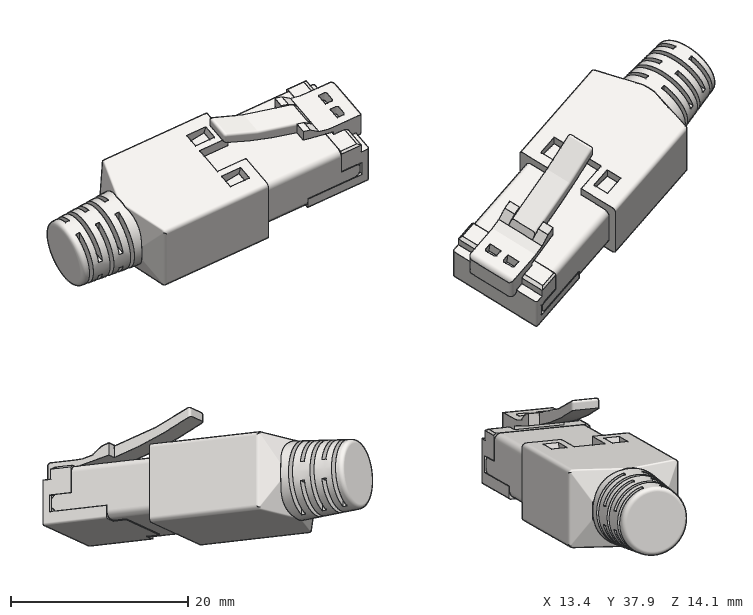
import cadquery as cq


BOOT_HALF_WIDTH = 6.7
BOOT_HALF_HEIGHT = 4.55
BOOT_FRONT_Y = 23.0
TAPER_FRONT_Y = 9.3
TAPER_BACK_Y = 7.57
TAPER_HALF_WIDTH = 4.5
RIDGE_TOP_X = 0.75
RIDGE_SIDE_Z = 1.02
BOOT_FILLET = 0.53
RIDGE_FILLET = 0.23
TILT_LIMIT = 0.1

RECESS_BACK_Y = 19.23
NOTCH_WIDTH = 3.8
WINDOW_WIDTH = 1.9
WINDOW_LENGTH = 2.55
WINDOW_CENTER_X = 3.7
WINDOW_FRONT_DEPTH = 0.87
WINDOW_BACK_DEPTH = 1.32
WINDOW_FRONT_SLANT = 0.23

RELIEF_AXIS_Z = -0.02
RELIEF_FRONT_RADIUS = 4.5
RELIEF_END_RADIUS = 3.95
RELIEF_END_FILLET = 0.5
RELIEF_OVERLAP = 0.55
SLOT_PITCH = 2.6
SIDE_SLOT_START_Y = 1.15
UPRIGHT_SLOT_START_Y = 2.4
SIDE_SLOT_COUNT = 3
UPRIGHT_SLOT_COUNT = 2
SLOT_WIDTH = 0.5
WEB_HALF = 1.1

BODY_HALF_WIDTH = 5.8
BODY_HALF_HEIGHT = 3.25
BODY_FILLET = 0.85
BODY_FRONT_Y = 34.05
HEAD_HALF_WIDTH = 5.85
HEAD_FRONT_Y = 36.95
HEAD_BOTTOM_Z = -3.35
HEAD_TOP_Z = 3.3
HEAD_BACK_Y = 33.27
RAIL_BACK_Y = 28.8
BOTTOM_PLATE_BACK_Y = 27.18
BOTTOM_PLATE_HALF_WIDTH = 4.15
STEP_Y = 35.9
STEP_Z = 1.9
HEAD_EDGE = 0.245
STEP_BEVEL_LENGTH = 0.45
NOTCH_FRONT_Y = 36.0
NOTCH_BOTTOM_Z = -1.85
NOTCH_TOP_Z = 0.08
NOSE_GAP = 0.23
NOSE_CHAMFER = 0.4
NOSE_GAP_DEPTH = 0.38

PLUG_TIP_Y = 37.85
LATCH_TOP_Z = 4.55
LATCH_BOTTOM_Z = 1.32
LATCH_HALF_WIDTH = 3.03
LATCH_CORNER_FILLET = 0.5
LATCH_NOSE_START_Y = 37.05
LATCH_NOSE_MIDDLE = (37.6, 4.43)
LATCH_NOSE_END_Z = 4.13
TOP_FLAT_BACK_Y = 34.25
TOP_BEND = (33.27, 4.58)
HOOK_INNER_Y = 35.2
HOOK_INNER_Z = 2.65
UNDERCUT_FRONT_Y = 34.0
UNDERCUT_TOP_Z = 3.8
UNDERCUT_RADIUS = 0.23
SHOULDER_BEND = (30.9, 5.8)
ROOT_BACK_Y = 29.95
ROOT_BACK_TOP_Z = 6.1
ROOT_BACK_BOTTOM = (ROOT_BACK_Y, 4.65)
RAMP_START = (32.02, 4.9)
ARM_HALF_WIDTH = 1.65
ARM_CREST = (31.4, 5.65)
ARM_BEND = (24.83, 7.7)
ARM_UNDERSIDE_MIDDLE = (25.1, 6.3)
ARM_END_Y = 20.33
ARM_END_TOP_Z = 9.73
ARM_END_BOTTOM_Z = 8.48
ARM_FILLET = 0.3

LATCH_HOLE_X = 1.25
LATCH_HOLE_WIDTH = 1.5
LATCH_HOLE_FRONT_Y = 36.1
LATCH_HOLE_LENGTH = 1.02
LATCH_HOLE_TAPER = 0.23
LATCH_HOLE_FILLET = 0.23
LATCH_HOLE_DEPTH = 1.15


def block(x_range, y_range, z_range):
    """Box between the given limits."""
    sizes = [high - low for low, high in (x_range, y_range, z_range)]
    corner = (x_range[0], y_range[0], z_range[0])
    return cq.Workplane("XY").box(*sizes, centered=False).translate(corner)


def centered_block(half_width, y_range, z_range):
    """Box that is symmetric about X = 0."""
    return block((-half_width, half_width), y_range, z_range)


def across(profile, half_width):
    """Extrude a closed (Y, Z) profile symmetrically along X."""
    return profile.extrude(half_width, both=True)


def make_boot():
    """Rounded box whose back is faceted down towards the strain relief."""
    w, h = BOOT_HALF_WIDTH, BOOT_HALF_HEIGHT
    boot = centered_block(w, (TAPER_BACK_Y, BOOT_FRONT_Y), (-h, h))
    for side in (-1, 1):
        side_cut = (
            cq.Workplane("XY")
            .moveTo(side * w, TAPER_FRONT_Y)
            .lineTo(side * TAPER_HALF_WIDTH, TAPER_BACK_Y)
            .lineTo(side * w, TAPER_BACK_Y)
            .close()
            .extrude(h, both=True)
        )
        boot = boot.cut(side_cut)
    boot = boot.edges("(|Y or |Z) and (not (<Y or >Y))").fillet(BOOT_FILLET)
    for side in (-1, 1):
        for level in (-1, 1):
            boot = boot.cut(corner_facet(side, level))
    return boot.faces().filter(is_facet).edges("not <Y").fillet(RIDGE_FILLET)


def is_facet(face):
    """True for a flat face that is tilted to all three axes."""
    normal = face.normalAt()
    return face.geomType() == "PLANE" and min(abs(normal.x), abs(normal.y), abs(normal.z)) > TILT_LIMIT


def corner_facet(side, level):
    """Tetrahedron that cuts one sloping facet at a back corner of the boot."""
    tip = cq.Vector(side * BOOT_HALF_WIDTH, TAPER_FRONT_Y, level * BOOT_HALF_HEIGHT)
    on_top = cq.Vector(side * RIDGE_TOP_X, TAPER_BACK_Y, level * BOOT_HALF_HEIGHT)
    on_side = cq.Vector(side * TAPER_HALF_WIDTH, TAPER_BACK_Y, level * RIDGE_SIDE_Z)
    outside = cq.Vector(side * BOOT_HALF_WIDTH, TAPER_BACK_Y, level * BOOT_HALF_HEIGHT)
    corners = [tip, on_top, on_side, outside]
    faces = []
    for skipped in corners:
        triangle = [corner for corner in corners if corner is not skipped]
        faces.append(cq.Face.makeFromWires(cq.Wire.makePolygon(triangle, close=True)))
    return cq.Workplane(cq.Solid.makeSolid(cq.Shell.makeShell(faces)))


def cut_boot_recesses(plug):
    """Latch notch down to the plug body and two snap windows with sloping floors."""
    top = BOOT_HALF_HEIGHT
    plug = plug.cut(
        centered_block(NOTCH_WIDTH / 2, (RECESS_BACK_Y, BOOT_FRONT_Y), (BODY_HALF_HEIGHT, top))
    )
    window_front_y = RECESS_BACK_Y + WINDOW_LENGTH
    window = across(
        cq.Workplane("YZ")
        .moveTo(RECESS_BACK_Y, top)
        .lineTo(window_front_y, top)
        .lineTo(window_front_y - WINDOW_FRONT_SLANT, top - WINDOW_FRONT_DEPTH)
        .lineTo(RECESS_BACK_Y, top - WINDOW_BACK_DEPTH)
        .close(),
        WINDOW_WIDTH / 2,
    )
    for side in (-1, 1):
        plug = plug.cut(window.translate((side * WINDOW_CENTER_X, 0, 0)))
    return plug


def make_relief():
    """Tapered sleeve with alternating pairs of slots that make it flexible."""
    front_y = TAPER_BACK_Y + RELIEF_OVERLAP
    relief = (
        cq.Workplane("XY")
        .lineTo(RELIEF_END_RADIUS, 0)
        .lineTo(RELIEF_FRONT_RADIUS, TAPER_BACK_Y)
        .lineTo(RELIEF_FRONT_RADIUS, front_y)
        .lineTo(0, front_y)
        .close()
        .revolve(360, (0, 0), (0, 1))
        .faces("<Y")
        .edges()
        .fillet(RELIEF_END_FILLET)
    )
    reach = 2 * RELIEF_FRONT_RADIUS
    side_slot = block((WEB_HALF, reach), (-SLOT_WIDTH / 2, SLOT_WIDTH / 2), (-reach, reach))
    upright_slot = side_slot.rotate((0, 0, 0), (0, 1, 0), 90)
    for start_y, count, slot in (
        (SIDE_SLOT_START_Y, SIDE_SLOT_COUNT, side_slot),
        (UPRIGHT_SLOT_START_Y, UPRIGHT_SLOT_COUNT, upright_slot),
    ):
        opposite = slot.rotate((0, 0, 0), (0, 1, 0), 180)
        for index in range(count):
            place = (0, start_y + index * SLOT_PITCH, 0)
            relief = relief.cut(slot.translate(place)).cut(opposite.translate(place))
    return relief.translate((0, 0, RELIEF_AXIS_Z))


def make_body():
    """Plug body that runs from the boot into the head."""
    body = centered_block(
        BODY_HALF_WIDTH, (RECESS_BACK_Y, BODY_FRONT_Y), (-BODY_HALF_HEIGHT, BODY_HALF_HEIGHT)
    )
    return body.edges("|Y").fillet(BODY_FILLET)


def make_head():
    """Stepped head with a rail along each lower edge and a side notch above the rail."""
    w = HEAD_HALF_WIDTH
    lower = centered_block(w, (HEAD_BACK_Y, HEAD_FRONT_Y), (HEAD_BOTTOM_Z, STEP_Z))
    lower = lower.union(centered_block(w, (RAIL_BACK_Y, HEAD_FRONT_Y), (HEAD_BOTTOM_Z, NOTCH_BOTTOM_Z)))
    lower = lower.edges("|Z and >Y").fillet(HEAD_EDGE)
    lower = lower.faces("<Z").edges("not <Y").fillet(HEAD_EDGE)
    upper = centered_block(w, (HEAD_BACK_Y, STEP_Y), (0, HEAD_TOP_Z))
    upper = upper.faces(">Z").edges("|Y").chamfer(HEAD_EDGE)
    step_bevel = across(
        cq.Workplane("YZ")
        .moveTo(STEP_Y, HEAD_TOP_Z)
        .lineTo(STEP_Y - STEP_BEVEL_LENGTH, HEAD_TOP_Z)
        .lineTo(STEP_Y, HEAD_TOP_Z - HEAD_EDGE)
        .close(),
        w,
    )
    head = lower.union(upper.cut(step_bevel))
    plate = centered_block(
        BOTTOM_PLATE_HALF_WIDTH, (BOTTOM_PLATE_BACK_Y, RAIL_BACK_Y), (HEAD_BOTTOM_Z, NOTCH_BOTTOM_Z)
    )
    head = head.union(plate)
    for inner, outer in ((BODY_HALF_WIDTH, w), (-w, -BODY_HALF_WIDTH)):
        notch = block((inner, outer), (RAIL_BACK_Y, NOTCH_FRONT_Y), (NOTCH_BOTTOM_Z, NOTCH_TOP_Z))
        head = head.cut(notch)
    return head


def cut_nose_gaps(plug):
    """Narrow gap between the chamfered nose of the body and the front of each side notch."""
    back_y = NOTCH_FRONT_Y - NOSE_GAP - NOSE_CHAMFER
    nose_y = NOTCH_FRONT_Y - NOSE_GAP
    gap = (
        cq.Workplane("YZ")
        .moveTo(back_y, NOTCH_TOP_Z)
        .lineTo(NOTCH_FRONT_Y, NOTCH_TOP_Z)
        .lineTo(NOTCH_FRONT_Y, NOTCH_BOTTOM_Z)
        .lineTo(back_y, NOTCH_BOTTOM_Z)
        .lineTo(nose_y, NOTCH_BOTTOM_Z + NOSE_CHAMFER)
        .lineTo(nose_y, NOTCH_TOP_Z - NOSE_CHAMFER)
        .close()
        .extrude(NOSE_GAP_DEPTH)
    )
    for start_x in (-BODY_HALF_WIDTH, BODY_HALF_WIDTH - NOSE_GAP_DEPTH):
        plug = plug.cut(gap.translate((start_x, 0, 0)))
    return plug


def make_latch_root():
    """Wide front of the latch, hooked over the head, with a shoulder on each side of the arm."""
    root = across(
        cq.Workplane("YZ")
        .moveTo(PLUG_TIP_Y, LATCH_BOTTOM_Z)
        .lineTo(HOOK_INNER_Y, LATCH_BOTTOM_Z)
        .lineTo(UNDERCUT_FRONT_Y, HOOK_INNER_Z)
        .lineTo(UNDERCUT_FRONT_Y, UNDERCUT_TOP_Z - UNDERCUT_RADIUS)
        .radiusArc((UNDERCUT_FRONT_Y - UNDERCUT_RADIUS, UNDERCUT_TOP_Z), -UNDERCUT_RADIUS)
        .lineTo(*ROOT_BACK_BOTTOM)
        .lineTo(ROOT_BACK_Y, ROOT_BACK_TOP_Z)
        .lineTo(*SHOULDER_BEND)
        .lineTo(*RAMP_START)
        .lineTo(*TOP_BEND)
        .lineTo(TOP_FLAT_BACK_Y, LATCH_TOP_Z)
        .lineTo(LATCH_NOSE_START_Y, LATCH_TOP_Z)
        .threePointArc(LATCH_NOSE_MIDDLE, (PLUG_TIP_Y, LATCH_NOSE_END_Z))
        .close(),
        LATCH_HALF_WIDTH,
    )
    root = root.edges("|Z and >Y").fillet(LATCH_CORNER_FILLET)
    arm_seat = across(
        cq.Workplane("YZ")
        .moveTo(*ROOT_BACK_BOTTOM)
        .lineTo(*RAMP_START)
        .lineTo(RAMP_START[0], ROOT_BACK_TOP_Z)
        .lineTo(ROOT_BACK_Y, ROOT_BACK_TOP_Z)
        .close(),
        ARM_HALF_WIDTH,
    )
    return root.cut(arm_seat)


def cut_latch_holes(plug):
    """Two blind holes in the top of the latch with tapered ends."""
    front_y = LATCH_HOLE_FRONT_Y
    back_y = LATCH_HOLE_FRONT_Y - LATCH_HOLE_LENGTH
    floor_z = LATCH_TOP_Z - LATCH_HOLE_DEPTH
    hole = across(
        cq.Workplane("YZ")
        .moveTo(front_y, LATCH_TOP_Z)
        .lineTo(back_y, LATCH_TOP_Z)
        .lineTo(back_y + LATCH_HOLE_TAPER, floor_z)
        .lineTo(front_y - LATCH_HOLE_TAPER, floor_z)
        .close(),
        LATCH_HOLE_WIDTH / 2,
    )
    hole = hole.faces(">Y").edges("not |X").fillet(LATCH_HOLE_FILLET)
    for side in (-1, 1):
        plug = plug.cut(hole.translate((side * LATCH_HOLE_X, 0, 0)))
    return plug


def make_latch_arm():
    """Bent arm that the finger presses, rounded along its upper edges and its free end."""
    arm = across(
        cq.Workplane("YZ")
        .moveTo(*RAMP_START)
        .lineTo(*ARM_CREST)
        .lineTo(*ARM_BEND)
        .lineTo(ARM_END_Y, ARM_END_TOP_Z)
        .lineTo(ARM_END_Y, ARM_END_BOTTOM_Z)
        .threePointArc(ARM_UNDERSIDE_MIDDLE, ROOT_BACK_BOTTOM)
        .close(),
        ARM_HALF_WIDTH,
    )
    return arm.edges().filter(is_upper_arm_edge).fillet(ARM_FILLET)


def is_upper_arm_edge(edge):
    """True for the upper side edges of the arm and for the upper and side edges of its free end."""
    center = edge.Center()
    on_side = abs(center.x) > ARM_HALF_WIDTH / 2
    on_free_end = center.z > ARM_END_BOTTOM_Z
    is_upper = on_free_end or (on_side and center.z > ARM_CREST[1])
    return edge.geomType() == "LINE" and is_upper


body_and_head = make_body().union(make_head())
latch = make_latch_root().union(make_latch_arm())
result = make_boot().union(make_relief()).union(body_and_head).union(latch)
result = cut_boot_recesses(result)
result = cut_nose_gaps(result)
result = cut_latch_holes(result)